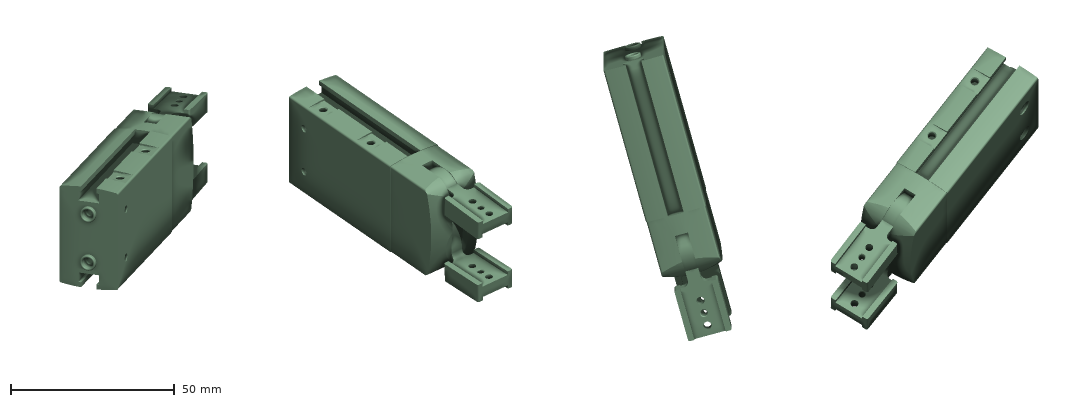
import cadquery as cq
import math


body_width = 19.0
body_height = 33.5
body_length = 48.8
crown_radius = 55.5
corner_radius = 0.6

nose_inset = 0.2
nose_tip_y = 70.1
nose_side_radius = 58.2
nose_plan_radius = 28.65
bevel_radius = 8.2
bevel_top_y = 62.5
bevel_top_z = 16.7
bevel_front_y = 68.85
bevel_front_z = 11.9

slot_mouth_width = 5.0
slot_inner_width = 6.8
slot_lip = 1.7
slot_depth = 4.8

pad_length = 7.0
pad_edge_x = 8.9
pad_hole_x = 5.8
pad_hole_diameter = 2.4
pad_hole_chamfer = 0.3
pad_hole_depth = 2.7
pad_centers_y = (12.1, 35.1)

hole_z = 8.0
mount_hole_diameter = 2.4
side_hole_y = 7.3
sleeve_diameter = 5.0
sleeve_bore = 3.5
sleeve_protrusion = 1.25
seat_depth = sleeve_protrusion

hub_radius = 8.15
hub_y = 61.4
hub_z = 8.3
finger_tilt = 2.0
neck_width = 4.1
neck_plan_radius = 1.8
neck_root_radius = 2.0
plate_width = 13.8
plate_length = 16.5
plate_thickness = 6.3
plate_corner_radius = 0.6
plate_rear = 10.1
plate_inner_z = 1.1
groove_width = 9.9
groove_depth = 1.25
finger_hole_diameter = 2.4
finger_thread_diameter = 2.0
finger_hole_pitch = 4.0
finger_hole_tip_distance = 3.0
nose_slot_rear_y = 55.15


def box(x_range, y_range, z_range):
    """Axis-aligned box between pairs of limits."""
    corner = cq.Vector(x_range[0], y_range[0], z_range[0])
    return cq.Workplane(
        cq.Solid.makeBox(
            x_range[1] - x_range[0], y_range[1] - y_range[0], z_range[1] - z_range[0], corner
        )
    )


def cylinder(diameter, length, start, direction):
    """Cylinder that begins at start and runs along direction."""
    return cq.Workplane(
        cq.Solid.makeCylinder(diameter / 2, length, cq.Vector(*start), cq.Vector(*direction))
    )


def crowned_prism(y_start, y_end, inset):
    """Housing section with crowned top and bottom and rounded corners, from y_start to y_end."""
    half_width = body_width / 2 - inset
    top = body_height / 2 - inset
    shoulder = top - (crown_radius - math.sqrt(crown_radius**2 - half_width**2))
    return (
        cq.Workplane("XZ", origin=(0, y_start, 0))
        .moveTo(-half_width, -shoulder)
        .threePointArc((0, -top), (half_width, -shoulder))
        .lineTo(half_width, shoulder)
        .threePointArc((0, top), (-half_width, shoulder))
        .close()
        .extrude(y_start - y_end)
        .edges("|Y")
        .fillet(corner_radius)
    )


def arc_middle(start, end, radius):
    """Middle point of the arc from start to end that bulges to the right of that direction."""
    dx = end[0] - start[0]
    dy = end[1] - start[1]
    chord = math.hypot(dx, dy)
    bulge = radius - math.sqrt(radius**2 - chord**2 / 4)
    return (
        (start[0] + end[0]) / 2 + bulge * dy / chord,
        (start[1] + end[1]) / 2 - bulge * dx / chord,
    )


def nose_front_envelope():
    """Bulged front: a plan arc revolved about an axis parallel to X."""
    half_width = body_width / 2
    edge_y = nose_tip_y - (nose_plan_radius - math.sqrt(nose_plan_radius**2 - half_width**2))
    axis_y = nose_tip_y - nose_side_radius
    return (
        cq.Workplane("XY")
        .moveTo(-half_width, axis_y)
        .lineTo(-half_width, edge_y)
        .threePointArc((0, nose_tip_y), (half_width, edge_y))
        .lineTo(half_width, axis_y)
        .close()
        .revolve(360, (0, axis_y, 0), (1, axis_y, 0))
    )


def nose_bevel_envelope():
    """Side outline of the nose with an arc bevel toward the top and the bottom."""
    upper = arc_middle((bevel_front_y, bevel_front_z), (bevel_top_y, bevel_top_z), bevel_radius)
    return (
        cq.Workplane("YZ", origin=(-body_width / 2, 0, 0))
        .moveTo(body_length, -bevel_top_z)
        .lineTo(bevel_top_y, -bevel_top_z)
        .threePointArc((upper[0], -upper[1]), (bevel_front_y, -bevel_front_z))
        .lineTo(nose_tip_y, 0)
        .lineTo(bevel_front_y, bevel_front_z)
        .threePointArc(upper, (bevel_top_y, bevel_top_z))
        .lineTo(body_length, bevel_top_z)
        .close()
        .extrude(body_width)
    )


def make_nose():
    nose = crowned_prism(body_length, nose_tip_y, nose_inset)
    return nose.intersect(nose_front_envelope()).intersect(nose_bevel_envelope())


def t_slot(side):
    """T-slot along the body, in the top for side = 1 and in the bottom for side = -1."""
    top = body_height / 2
    mouth_half = slot_mouth_width / 2
    inner_half = slot_inner_width / 2
    y_range = (0, body_length)
    mouth = box((-mouth_half, mouth_half), y_range, (top - slot_depth, top))
    channel = box((-inner_half, inner_half), y_range, (top - slot_depth, top - slot_lip))
    slot = mouth.union(channel)
    return slot if side > 0 else slot.mirror("XY")


def countersunk_hole(diameter, depth, chamfer, start, direction):
    """Cutter for a hole with a 45 degree chamfer at its mouth."""
    cone = cq.Solid.makeCone(
        diameter / 2 + chamfer, diameter / 2, chamfer, cq.Vector(*start), cq.Vector(*direction)
    )
    return cylinder(diameter, depth, start, direction).union(cq.Workplane(cone))


def pad_cut(center_y):
    """Flat pad beside the top T-slot, meeting the crown at pad_edge_x, with its hole."""
    crown_drop = crown_radius - math.sqrt(crown_radius**2 - pad_edge_x**2)
    pad_z = body_height / 2 - crown_drop
    y_range = (center_y - pad_length / 2, center_y + pad_length / 2)
    flat = box((slot_mouth_width / 2, pad_edge_x), y_range, (pad_z, body_height / 2))
    hole = countersunk_hole(
        pad_hole_diameter, pad_hole_depth, pad_hole_chamfer, (pad_hole_x, center_y, pad_z), (0, 0, -1)
    )
    return flat.union(hole)


def mounting_holes(z):
    """Cross hole through the sides and rear hole that runs into it, both with sleeve seats."""
    side_start = (-body_width / 2, side_hole_y, z)
    rear_start = (0, 0, z)
    cross_hole = cylinder(mount_hole_diameter, body_width, side_start, (1, 0, 0))
    side_seat = cylinder(sleeve_diameter, seat_depth, side_start, (1, 0, 0))
    rear_hole = cylinder(mount_hole_diameter, side_hole_y, rear_start, (0, 1, 0))
    rear_seat = cylinder(sleeve_diameter, seat_depth, rear_start, (0, 1, 0))
    return cross_hole.union(side_seat).union(rear_hole).union(rear_seat)


def hub_disc(z):
    start = (-neck_width / 2, hub_y, z)
    return cylinder(2 * hub_radius, neck_width, start, (1, 0, 0))


def make_housing():
    housing = crowned_prism(0, body_length, 0).union(make_nose())
    nose_slot = box(
        (-neck_width / 2, neck_width / 2),
        (nose_slot_rear_y, nose_tip_y),
        (-body_height / 2, body_height / 2),
    )
    housing = housing.cut(nose_slot)
    for side in (1, -1):
        housing = housing.cut(t_slot(side))
        housing = housing.cut(mounting_holes(side * hole_z))
        housing = housing.cut(hub_disc(side * hub_z))
    for center_y in pad_centers_y:
        housing = housing.cut(pad_cut(center_y))
    return housing


def make_sleeve(z):
    """Centering sleeve, half sunk in its seat, with a fully rounded outer end."""
    outer = sleeve_diameter / 2
    inner = sleeve_bore / 2
    round_radius = (outer - inner) / 2
    round_start = round_radius - sleeve_protrusion
    return (
        cq.Workplane("XY")
        .moveTo(inner, seat_depth)
        .lineTo(inner, round_start)
        .threePointArc((inner + round_radius, -sleeve_protrusion), (outer, round_start))
        .lineTo(outer, seat_depth)
        .close()
        .revolve(360, (0, 0, 0), (0, 1, 0))
        .translate((0, 0, z))
    )


def finger_blank():
    """Plate with rounded corners and a neck that flares into it, all at full plate thickness."""
    half_neck = neck_width / 2
    flare_x = half_neck + neck_plan_radius
    flare_y = plate_rear - neck_plan_radius
    arc_x = flare_x - neck_plan_radius * math.sqrt(0.5)
    arc_y = flare_y + neck_plan_radius * math.sqrt(0.5)
    plate_middle_y = plate_rear + plate_length / 2
    base = cq.Workplane("XY", origin=(0, 0, plate_inner_z))
    plate = (
        base.center(0, plate_middle_y)
        .rect(plate_width, plate_length)
        .extrude(plate_thickness)
        .edges("|Z")
        .fillet(plate_corner_radius)
    )
    neck = (
        base.moveTo(-half_neck, 0)
        .lineTo(-half_neck, flare_y)
        .threePointArc((-arc_x, arc_y), (-flare_x, plate_rear))
        .lineTo(-flare_x, plate_middle_y)
        .lineTo(flare_x, plate_middle_y)
        .lineTo(flare_x, plate_rear)
        .threePointArc((arc_x, arc_y), (half_neck, flare_y))
        .lineTo(half_neck, 0)
        .close()
        .extrude(plate_thickness)
    )
    return plate.union(neck)


def cut_grooves(blank):
    """Groove on both faces of the plate, carried on along the neck."""
    x_range = (-groove_width / 2, groove_width / 2)
    y_range = (0, plate_rear + plate_length)
    outer_z = plate_inner_z + plate_thickness
    inner_groove = box(x_range, y_range, (plate_inner_z, plate_inner_z + groove_depth))
    outer_groove = box(x_range, y_range, (outer_z - groove_depth, outer_z))
    return blank.cut(inner_groove).cut(outer_groove)


def add_hub(blade):
    """Round hub centred on the origin, blended into the inner side of the neck."""
    neck_inner_z = plate_inner_z + groove_depth
    root_y = math.sqrt(hub_radius**2 - neck_inner_z**2)
    hub = cylinder(2 * hub_radius, neck_width, (-neck_width / 2, 0, 0), (1, 0, 0))
    root = cq.selectors.NearestToPointSelector((0, root_y, neck_inner_z))
    return blade.union(hub).edges("|X").edges(root).fillet(neck_root_radius)


def finger_hole_cuts():
    """Row of three holes; the middle one is a thread countersunk from both sides."""
    bottom = plate_inner_z + groove_depth
    depth = plate_thickness - 2 * groove_depth
    tip_hole_y = plate_rear + plate_length - finger_hole_tip_distance
    middle_y = tip_hole_y - finger_hole_pitch
    chamfer = (finger_hole_diameter - finger_thread_diameter) / 2
    lower_mouth = (0, middle_y, bottom)
    upper_mouth = (0, middle_y, bottom + depth)
    cuts = countersunk_hole(finger_thread_diameter, depth, chamfer, lower_mouth, (0, 0, 1)).union(
        countersunk_hole(finger_thread_diameter, depth, chamfer, upper_mouth, (0, 0, -1))
    )
    for offset in (-finger_hole_pitch, finger_hole_pitch):
        cuts = cuts.union(cylinder(finger_hole_diameter, depth, (0, middle_y + offset, bottom), (0, 0, 1)))
    return cuts


def make_finger(side):
    """Upper finger for side = 1, its mirror image below for side = -1; the tip leans toward z = 0."""
    finger = add_hub(cut_grooves(finger_blank())).cut(finger_hole_cuts())
    finger = finger.rotate((0, 0, 0), (1, 0, 0), -finger_tilt).translate((0, hub_y, hub_z))
    return finger if side > 0 else finger.mirror("XY")


housing = make_housing()
sleeves = [make_sleeve(side * hole_z) for side in (1, -1)]
fingers = [make_finger(side) for side in (1, -1)]

result = cq.Compound.makeCompound([body.val() for body in [housing, *sleeves, *fingers]])